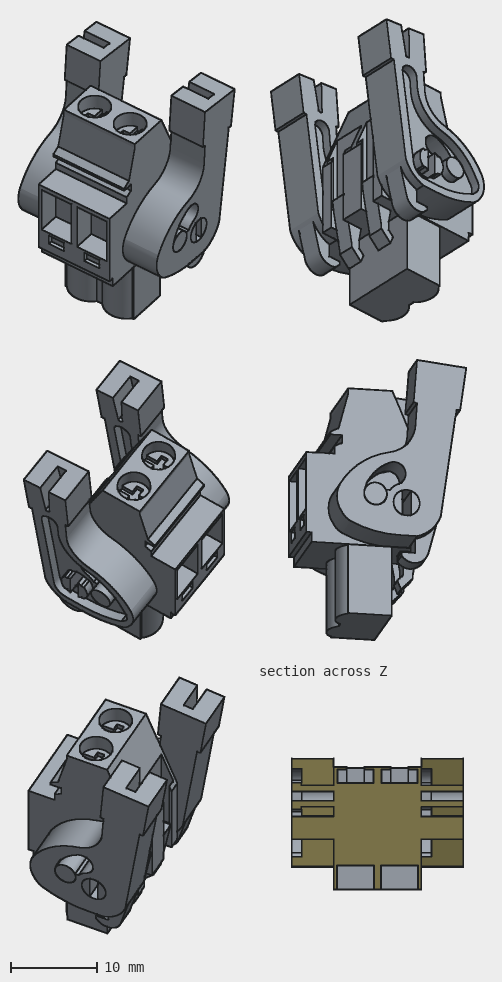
import cadquery as cq
import math


PITCH = 5.08
POLES = 2
BODY_WIDTH = POLES * PITCH
POLE_CENTRES = [(pole - (POLES - 1) / 2) * PITCH for pole in range(POLES)]
LEVER_WIDTH = 4.85
LEVER_STARTS = [-BODY_WIDTH / 2 - LEVER_WIDTH, BODY_WIDTH / 2]

PLUG_TOP = 8.3
STEP_TOP = 9.46
STEP_INSET = 0.62
SHELF_HEIGHT = 19.13
BODY_TOP = 27.15
BODY_BACK = 14.19
TOP_FRONT = 4.94
TOP_BACK = 10.15
BACK_SLOPE_BOTTOM = 17.5

PLUG_WIDTH = 9.86
PLUG_BACK = 10.11
PLUG_SHOULDER = 4.96
LOBE_FRONT = 3.98
LOBE_HALF_WIDTH = 2.16

WIRE_WIDTH = 4.24
WIRE_BOTTOM = 12.38
WIRE_TOP = 18.5
WIRE_DEPTH = 2.78
WINDOW_WIDTH = 2.14
WINDOW_BOTTOM = 10.73
WINDOW_TOP = 11.99
WINDOW_DEPTH = 0.5

SCREW_Y = 7.48
SCREW_RADIUS = 1.92
SCREW_RECESS = 2.0
SCREW_LENGTH = 2.0
DRIVE_DEPTH = 0.6
SLOT_WIDTH = 0.67
CROSS_LENGTH = 2.56
CROSS_WIDTH = 0.88

ARM_WIDTH = 2.06
ARM_TOP = 12.0
ARM_BACK = 14.09
ARM_ROOT = 11.86
POCKET_WIDTH = 4.14
POCKET_FRONT = 12.36
POCKET_BACK = 13.89
POCKET_FLOOR = 11.0

PIVOT_Y = 10.82
PIVOT_Z = 12.2
PIVOT_RADIUS = 1.55
PIVOT_GAP = 1.05
BARB_RADIUS = 1.81
BARB_HEIGHT = 2.42
GUIDE_Y = 7.15
GUIDE_Z = 13.09
GUIDE_RADIUS = 1.33

RECESS_DEPTH = 1.15
FINGER_SLOT_DEPTH = 3.6
LATCH_START = RECESS_DEPTH
LATCH_WIDTH = 2.47
GUIDE_SLOT_SWEEP = 53.5
GUIDE_SLOT_RADIUS = 1.36
LEVER_TOP = 29.56
LEVER_BACK = 17.88
GRIP_BOTTOM = 23.82
PLATE_BOTTOM = 8.24
RECESS_BOTTOM = 9.29
RECESS_CAP_Y = 14.26
RECESS_CAP_Z = 22.9
RECESS_CAP_RADIUS = 1.12
FINGER_SLOT_TOP = LEVER_TOP + 0.5
LATCH_FRONT = 12.07
LATCH_TOP = 10.4
LATCH_HOOK_TOP = 6.57
DETENT_FRONT = 8.41
DETENT_BACK = 8.9
DETENT_BOTTOM = 12.6
DETENT_TOP = 13.62


def box(x_range, y_range, z_range):
    """Box between the given limits on each axis."""
    (x0, x1), (y0, y1), (z0, z1) = x_range, y_range, z_range
    return cq.Workplane("XY").box(x1 - x0, y1 - y0, z1 - z0, centered=False).translate((x0, y0, z0))


def centred(middle, width):
    """Limits of a stretch of the given width around a middle."""
    return middle - width / 2, middle + width / 2


def side_profile(start_x):
    """Plane for outlines given as (y, z), extruded toward +X from start_x."""
    return cq.Workplane("YZ", origin=(start_x, 0, 0))


def x_cylinder(y, z, radius, start_x, length):
    """Cylinder along X."""
    return side_profile(start_x).center(y, z).circle(radius).extrude(length)


def body_block():
    outline = [
        (0, STEP_TOP),
        (0, SHELF_HEIGHT),
        (3.36, SHELF_HEIGHT),
        (3.36, 20.07),
        (4.2, 20.5),
        (4.2, 21.43),
        (2.84, 21.43),
        (2.84, 21.75),
        (3.81, 22.27),
        (TOP_FRONT, 26.54),
        (TOP_FRONT, BODY_TOP),
        (TOP_BACK, BODY_TOP),
        (BODY_BACK, BACK_SLOPE_BOTTOM),
        (BODY_BACK, PLUG_TOP),
        (STEP_INSET, PLUG_TOP),
        (STEP_INSET, STEP_TOP),
    ]
    return side_profile(-BODY_WIDTH / 2).polyline(outline).close().extrude(BODY_WIDTH)


def plug():
    """Block below the body with one rounded lobe along the front of each pole."""
    block = box(centred(0, PLUG_WIDTH), (PLUG_SHOULDER, PLUG_BACK), (0, PLUG_TOP))
    for x in POLE_CENTRES:
        lobe = (
            cq.Workplane("XY")
            .moveTo(x - LOBE_HALF_WIDTH, PLUG_SHOULDER)
            .threePointArc((x, LOBE_FRONT), (x + LOBE_HALF_WIDTH, PLUG_SHOULDER))
            .close()
            .extrude(PLUG_TOP)
        )
        block = block.union(lobe)
    return block


def front_openings(x):
    wire_entry = box(centred(x, WIRE_WIDTH), (0, WIRE_DEPTH), (WIRE_BOTTOM, WIRE_TOP))
    window = box(centred(x, WINDOW_WIDTH), (0, WINDOW_DEPTH), (WINDOW_BOTTOM, WINDOW_TOP))
    return wire_entry.union(window)


def screw_hole(x):
    depth = SCREW_RECESS + SCREW_LENGTH
    base = cq.Workplane("XY", origin=(x, SCREW_Y, BODY_TOP - depth))
    return base.circle(SCREW_RADIUS).extrude(depth)


def arm_pocket(x):
    """Pocket open at the rear slope, with a full-height gap through the rear wall for the arm."""
    pocket = box(centred(x, POCKET_WIDTH), (POCKET_FRONT, POCKET_BACK), (POCKET_FLOOR, BODY_TOP))
    gap = box(centred(x, ARM_WIDTH), (POCKET_FRONT, BODY_BACK), (PLUG_TOP, BODY_TOP))
    return pocket.union(gap)


def latch_arm(x):
    """Arm hanging down the rear of the pole, ending in a forward barb."""
    outline = [
        (ARM_ROOT, ARM_TOP),
        (ARM_BACK, ARM_TOP),
        (12.88, 5.5),
        (12.88, 5.08),
        (11.48, 3.68),
        (11.04, 4.73),
        (11.74, 5.43),
        (11.74, 6.57),
        (11.43, PLUG_TOP),
    ]
    return side_profile(x - ARM_WIDTH / 2).polyline(outline).close().extrude(ARM_WIDTH)


def pivot_pin(start_x):
    """Split pivot pin, as long as the lever is wide."""
    pin = x_cylinder(PIVOT_Y, PIVOT_Z, PIVOT_RADIUS, start_x, LEVER_WIDTH)
    gap = box(
        (start_x, start_x + LEVER_WIDTH),
        centred(PIVOT_Y, PIVOT_GAP),
        centred(PIVOT_Z, 2 * PIVOT_RADIUS),
    )
    return pin.cut(gap)


def pivot_barbs(start_x):
    """Wider, flattened ends of the split pivot that hold the lever on."""
    end_x = start_x + RECESS_DEPTH
    barbs = x_cylinder(PIVOT_Y, PIVOT_Z, BARB_RADIUS, start_x, RECESS_DEPTH)
    kept = centred(PIVOT_Z, BARB_HEIGHT)
    barbs = barbs.intersect(box((start_x, end_x), centred(PIVOT_Y, 2 * BARB_RADIUS), kept))
    return barbs.cut(box((start_x, end_x), centred(PIVOT_Y, PIVOT_GAP), kept))


def make_housing():
    housing = body_block().union(plug())
    for x in POLE_CENTRES:
        housing = housing.cut(front_openings(x)).cut(screw_hole(x)).cut(arm_pocket(x))
        housing = housing.union(latch_arm(x))
    for start_x in LEVER_STARTS:
        housing = housing.union(pivot_pin(start_x))
        housing = housing.union(x_cylinder(GUIDE_Y, GUIDE_Z, GUIDE_RADIUS, start_x, LEVER_WIDTH))
    return housing.union(pivot_barbs(LEVER_STARTS[0]))


def make_screw(x):
    """Screw head with a full slot front to rear and a shorter cross slot."""
    top = BODY_TOP - SCREW_RECESS
    drive = (top - DRIVE_DEPTH, top)
    head = (
        cq.Workplane("XY", origin=(x, SCREW_Y, top - SCREW_LENGTH))
        .circle(SCREW_RADIUS)
        .extrude(SCREW_LENGTH)
    )
    slot = box(centred(x, SLOT_WIDTH), centred(SCREW_Y, 2 * SCREW_RADIUS), drive)
    cross = box(centred(x, CROSS_LENGTH), centred(SCREW_Y, CROSS_WIDTH), drive)
    return head.cut(slot).cut(cross)


def lever_plate():
    """Handle with a stepped grip, sweeping into a rounded cam plate."""
    return (
        side_profile(0)
        .moveTo(LEVER_BACK, 28.96)
        .lineTo(12.06, LEVER_TOP)
        .lineTo(11.66, 24.43)
        .lineTo(12.06, 24.3)
        .lineTo(11.88, 21.65)
        .tangentArcPoint((8.83, 18.19), relative=False)
        .tangentArcPoint((2.94, 13.97), relative=False)
        .threePointArc((2.6, 12.3), (3.14, 10.7))
        .threePointArc((3.6, 10.05), (4.2, 9.58))
        .threePointArc((6.9, 8.6), (10.17, PLATE_BOTTOM))
        .lineTo(LATCH_FRONT, PLATE_BOTTOM)
        .threePointArc((13.7, 9.1), (14.87, 10.8))
        .lineTo(16.72, GRIP_BOTTOM)
        .lineTo(17.16, GRIP_BOTTOM)
        .close()
        .extrude(LEVER_WIDTH)
    )


def lever_recess():
    """Shallow recess that follows the lever outline."""
    return (
        side_profile(0)
        .moveTo(RECESS_CAP_Y + RECESS_CAP_RADIUS, RECESS_CAP_Z)
        .threePointArc(
            (RECESS_CAP_Y, RECESS_CAP_Z + RECESS_CAP_RADIUS),
            (RECESS_CAP_Y - RECESS_CAP_RADIUS, RECESS_CAP_Z),
        )
        .lineTo(13.02, 21.4)
        .threePointArc((12.0, 18.98), (9.2, 17.23))
        .threePointArc((6.2, 15.9), (4.26, 13.8))
        .lineTo(3.6, 12.72)
        .threePointArc((3.46, 12.2), (3.7, 11.3))
        .lineTo(4.25, 10.72)
        .threePointArc((6.8, 9.7), (9.6, RECESS_BOTTOM))
        .lineTo(LATCH_FRONT, RECESS_BOTTOM)
        .threePointArc((13.1, 9.75), (13.63, 10.75))
        .close()
        .extrude(RECESS_DEPTH)
    )


def finger_slot():
    """Tapered slot in the grip, open at the top and at the -X face."""
    return (
        side_profile(0)
        .moveTo(15.73, FINGER_SLOT_TOP)
        .lineTo(14.81, 25.24)
        .threePointArc((14.55, 25.14), (14.28, 25.26))
        .lineTo(14.4, FINGER_SLOT_TOP)
        .close()
        .extrude(FINGER_SLOT_DEPTH)
    )


def lever_latch():
    """Hook below the cam plate."""
    return (
        side_profile(LATCH_START)
        .moveTo(14.67, LATCH_TOP)
        .lineTo(13.67, 6.65)
        .threePointArc((12.06, 5.36), (10.49, 6.15))
        .lineTo(10.49, LATCH_HOOK_TOP)
        .lineTo(LATCH_FRONT, LATCH_HOOK_TOP)
        .lineTo(LATCH_FRONT, LATCH_TOP)
        .close()
        .extrude(LATCH_WIDTH)
    )


def guide_slot():
    """Arc slot around the pivot with a small detent beside the guide pin."""
    reach = math.hypot(GUIDE_Y - PIVOT_Y, GUIDE_Z - PIVOT_Z)
    pin_angle = math.atan2(GUIDE_Z - PIVOT_Z, GUIDE_Y - PIVOT_Y)
    far_angle = pin_angle - math.radians(GUIDE_SLOT_SWEEP)

    def at(radius, angle):
        return PIVOT_Y + radius * math.cos(angle), PIVOT_Z + radius * math.sin(angle)

    inner = reach - GUIDE_SLOT_RADIUS
    outer = reach + GUIDE_SLOT_RADIUS
    end_reach = math.hypot(reach, GUIDE_SLOT_RADIUS)
    end_spread = math.atan2(GUIDE_SLOT_RADIUS, reach)
    middle_angle = (pin_angle + far_angle) / 2
    band = (
        side_profile(0)
        .moveTo(*at(inner, pin_angle))
        .threePointArc(at(inner, middle_angle), at(inner, far_angle))
        .threePointArc(
            at(end_reach, far_angle - end_spread),
            at(outer, far_angle),
        )
        .threePointArc(at(outer, middle_angle), at(outer, pin_angle))
        .close()
        .extrude(LEVER_WIDTH)
    )
    detent = box((0, LEVER_WIDTH), (DETENT_FRONT, DETENT_BACK), (DETENT_BOTTOM, DETENT_TOP))
    pin_seat = x_cylinder(GUIDE_Y, GUIDE_Z, GUIDE_SLOT_RADIUS, 0, LEVER_WIDTH)
    return band.cut(detent).union(pin_seat)


def make_lever():
    pivot_hole = x_cylinder(PIVOT_Y, PIVOT_Z, PIVOT_RADIUS, 0, LEVER_WIDTH)
    lever = lever_plate().union(lever_latch())
    return lever.cut(lever_recess()).cut(finger_slot()).cut(guide_slot()).cut(pivot_hole)


housing = make_housing()
screws = [make_screw(x) for x in POLE_CENTRES]
levers = [make_lever().translate((start_x, 0, 0)) for start_x in LEVER_STARTS]

result = cq.Compound.makeCompound(
    [housing.val()] + [screw.val() for screw in screws] + [lever.val() for lever in levers]
)